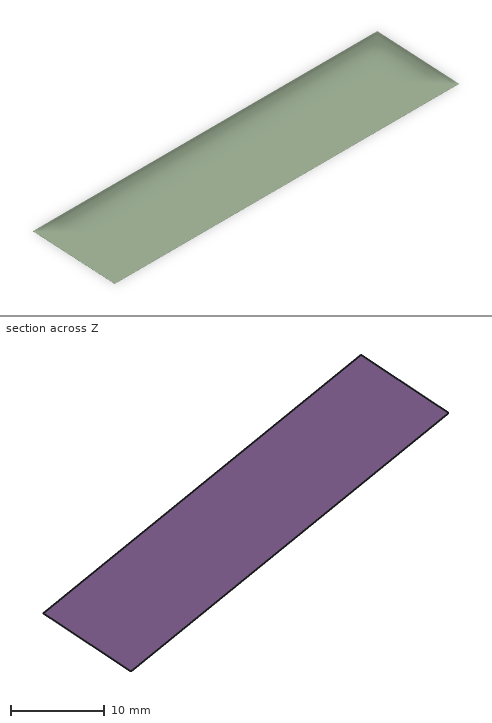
import cadquery as cq

strip_width = 12.7
strip_length = 50.8
strip_thickness = 0.03

result = cq.Workplane("XY").box(strip_width, strip_length, strip_thickness)